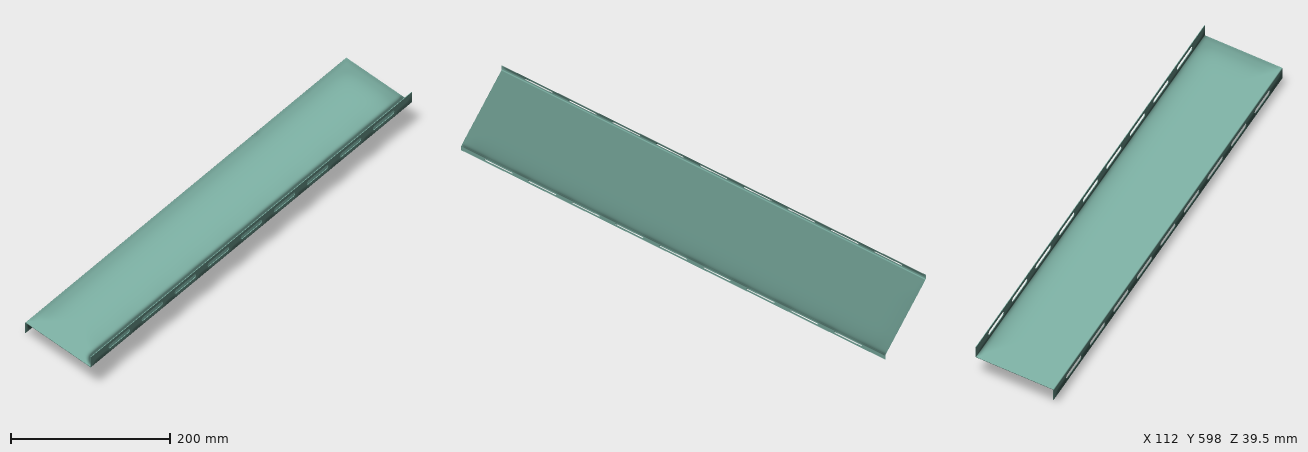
import cadquery as cq

length = 598.0
width = 112.0
height = 39.5
thickness = 0.8
inner_bend_radius = 0.7
outer_bend_radius = inner_bend_radius + thickness

slot_count = 9
slot_pitch = 61.5
slot_length = 40.0
slot_width = 7.0
slot_edge_distance = 9.0

half_width = width / 2
half_height = height / 2
half_thickness = thickness / 2


def z_profile():
    """Web at mid height, left flange down and right flange up, extruded along Y."""
    outline = [
        (-half_width, -half_height),
        (-half_width + thickness, -half_height),
        (-half_width + thickness, -half_thickness),
        (half_width, -half_thickness),
        (half_width, half_height),
        (half_width - thickness, half_height),
        (half_width - thickness, half_thickness),
        (-half_width, half_thickness),
    ]
    body = cq.Workplane("XZ").polyline(outline).close().extrude(length / 2, both=True)
    for side in (-1, 1):
        outer_corner = (side * half_width, 0, -side * half_thickness)
        inner_corner = (side * (half_width - thickness), 0, side * half_thickness)
        body = body.edges(cq.selectors.NearestToPointSelector(outer_corner)).fillet(outer_bend_radius)
        body = body.edges(cq.selectors.NearestToPointSelector(inner_corner)).fillet(inner_bend_radius)
    return body


def slot_row(side):
    """Cutters for one flange: side -1 is the lower left flange, 1 the upper right."""
    slot_height = side * (half_height - slot_edge_distance)
    flange_middle = side * (half_width - half_thickness)
    return (
        cq.Workplane("YZ", origin=(flange_middle, 0, slot_height))
        .rarray(slot_pitch, 6, slot_count, 1)
        .slot2D(slot_length, slot_width)
        .extrude(thickness, both=True)
    )


result = z_profile().cut(slot_row(-1)).cut(slot_row(1))